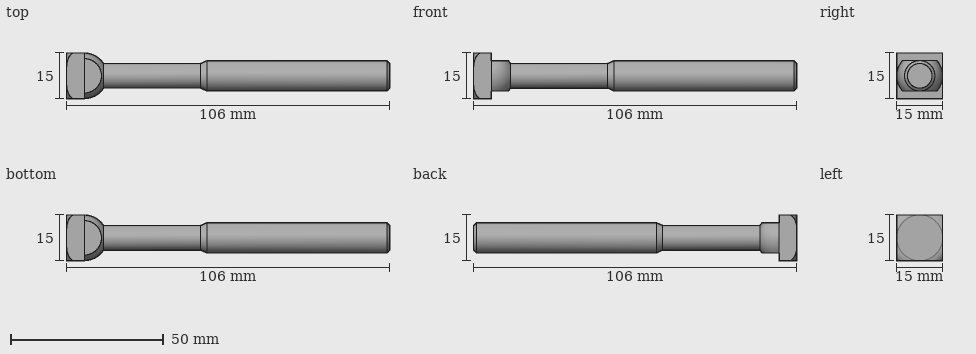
import cadquery as cq
import math

total_length = 106.0
head_width = 15.0
head_thickness = 5.8
head_round_radius = 3.3
thread_diameter = 10.0
shank_diameter = 8.2
taper_start = 44.0
taper_end = 46.0
end_chamfer = 1.0

head_half = head_width / 2
neck_width = thread_diameter
thread_radius = thread_diameter / 2
shank_radius = shank_diameter / 2


def make_head():
    """Square plate whose corners are rounded off by a turned cut around its outer face."""
    plate = cq.Workplane("YZ").rect(head_width, head_width).extrude(head_thickness)
    corner_reach = math.hypot(head_half, head_half)
    radial_run = corner_reach - head_half
    round_depth = head_round_radius - math.sqrt(head_round_radius**2 - radial_run**2)
    mid_angle = math.asin(radial_run / head_round_radius) / 2
    arc_middle = (
        head_round_radius * (1 - math.cos(mid_angle)),
        head_half + head_round_radius * math.sin(mid_angle),
    )
    turned_envelope = (
        cq.Workplane("XY")
        .lineTo(0, head_half)
        .threePointArc(arc_middle, (round_depth, corner_reach))
        .lineTo(round_depth, head_width)
        .lineTo(head_thickness, head_width)
        .lineTo(head_thickness, 0)
        .close()
        .revolve(360, (0, 0, 0), (1, 0, 0))
    )
    return plate.intersect(turned_envelope)


def make_neck():
    """Half ball centred on the back of the head, with flats above and below."""
    ball = cq.Workplane("XY").sphere(head_half)
    flats = cq.Workplane("XY").box(head_half, head_width, neck_width, centered=(False, True, True))
    return ball.intersect(flats).translate((head_thickness, 0, 0))


def make_stem():
    """Plain shank, taper and thicker threaded length with a chamfered end."""
    return (
        cq.Workplane("XY")
        .moveTo(head_thickness, 0)
        .lineTo(head_thickness, shank_radius)
        .lineTo(taper_start, shank_radius)
        .lineTo(taper_end, thread_radius)
        .lineTo(total_length - end_chamfer, thread_radius)
        .lineTo(total_length, thread_radius - end_chamfer)
        .lineTo(total_length, 0)
        .close()
        .revolve(360, (0, 0, 0), (1, 0, 0))
    )


result = make_head().union(make_neck()).union(make_stem())